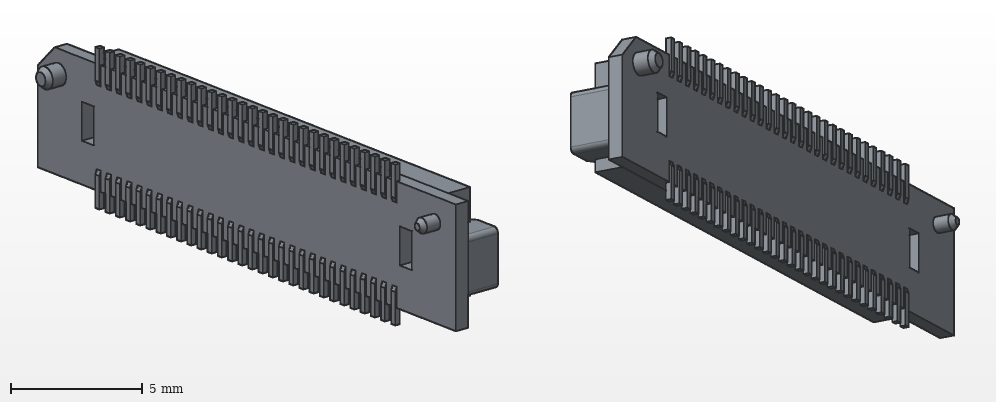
import cadquery as cq


plate_length = 24.6
plate_height = 5.12
plate_thickness = 0.62
corner_cut = 1.0

housing_length = 20.66
housing_height = 4.38
housing_back = 2.39

block_outer_x = 11.54
block_tip_x = 9.85
block_back = 2.75
block_height = 2.45
block_center_z = -0.45
block_edge_radius = 0.22
flare_size = 0.2

window_width = 0.7
window_height = 1.57
window_x = 9.35

peg_x = 11.07
peg_z = 1.53
peg_length = 0.89
large_peg_diameter = 0.9
small_peg_diameter = 0.65
peg_tip_height = 0.22
peg_tip_inset = 0.17

tails_per_row = 30
tail_row_span = 17.4
tail_pitch = tail_row_span / (tails_per_row - 1)
tail_width = 0.25
tail_thickness = 0.234
tail_proud = 0.07
tail_outer_z = 3.25
tail_inner_z = 1.7
tail_ramp = 0.2


def box(x_range, y_range, z_range):
    """Axis-aligned box between the given limits."""
    (x0, x1), (y0, y1), (z0, z1) = x_range, y_range, z_range
    return cq.Workplane("XY").box(x1 - x0, y1 - y0, z1 - z0, centered=False).translate((x0, y0, z0))


def centered_span(center, size):
    return (center - size / 2, center + size / 2)


def make_plate():
    """Base plate with its upper corner at -X cut off."""
    plate = box(
        centered_span(0, plate_length),
        (0, plate_thickness),
        centered_span(0, plate_height),
    )
    return plate.edges("|Y").edges("<X").edges(">Z").chamfer(corner_cut)


def make_housing():
    return box(
        centered_span(0, housing_length),
        (0, housing_back),
        centered_span(0, housing_height),
    )


def block_footprint(y, growth):
    """Rectangle of the right guide block at one Y level, grown outward on its three free sides."""
    inner = block_tip_x
    outer = block_outer_x + growth
    half = block_height / 2 + growth
    corners = [(inner, -half), (outer, -half), (outer, half), (inner, half)]
    points = [cq.Vector(x, y, block_center_z + z) for x, z in corners]
    return cq.Wire.makePolygon(points, close=True)


def make_right_flare():
    """45-degree foot that widens from the block down to the plate."""
    wide = block_footprint(plate_thickness, flare_size)
    narrow = block_footprint(plate_thickness + flare_size, 0)
    return cq.Workplane(obj=cq.Solid.makeLoft([wide, narrow], True))


def make_right_block():
    """Guide block at +X: sloped inner lip, flared foot and rounded outer edges."""
    housing_end = housing_length / 2
    profile = [
        (block_tip_x, plate_thickness),
        (block_outer_x, plate_thickness),
        (block_outer_x, block_back),
        (housing_end, block_back),
        (block_tip_x, housing_back),
    ]
    block = (
        cq.Workplane("XY")
        .polyline(profile)
        .close()
        .extrude(block_height)
        .translate((0, 0, block_center_z - block_height / 2))
        .union(make_right_flare())
    )
    return block.edges("|Y").edges(">X").fillet(block_edge_radius)


def make_peg(x, diameter):
    """Round peg toward -Y with a tapered tip, rooted inside the plate."""
    radius = diameter / 2
    profile = [
        (0, plate_thickness),
        (radius, plate_thickness),
        (radius, peg_tip_height - peg_length),
        (radius - peg_tip_inset, -peg_length),
        (0, -peg_length),
    ]
    peg = cq.Workplane("XY").polyline(profile).close().revolve(360, (0, 0), (0, 1))
    return peg.translate((x, 0, peg_z))


def make_upper_tail(x):
    """Solder tail past the upper plate edge, ramping out of the plate face at its inner end."""
    profile = [
        (0, tail_inner_z),
        (-tail_proud, tail_inner_z + tail_ramp),
        (-tail_proud, tail_outer_z),
        (tail_thickness - tail_proud, tail_outer_z),
        (tail_thickness - tail_proud, tail_inner_z),
    ]
    tail = cq.Workplane("YZ").polyline(profile).close().extrude(tail_width)
    return tail.translate((x - tail_width / 2, 0, 0))


right_block = make_right_block()
result = make_plate().union(make_housing())
result = result.union(right_block).union(right_block.mirror("YZ"))
result = result.union(make_peg(-peg_x, large_peg_diameter))
result = result.union(make_peg(peg_x, small_peg_diameter))

for side in (-1, 1):
    window = box(
        centered_span(side * window_x, window_width),
        (0, block_back),
        centered_span(0, window_height),
    )
    result = result.cut(window)

for index in range(tails_per_row):
    upper_tail = make_upper_tail(index * tail_pitch - tail_row_span / 2)
    result = result.union(upper_tail).union(upper_tail.mirror("XY"))